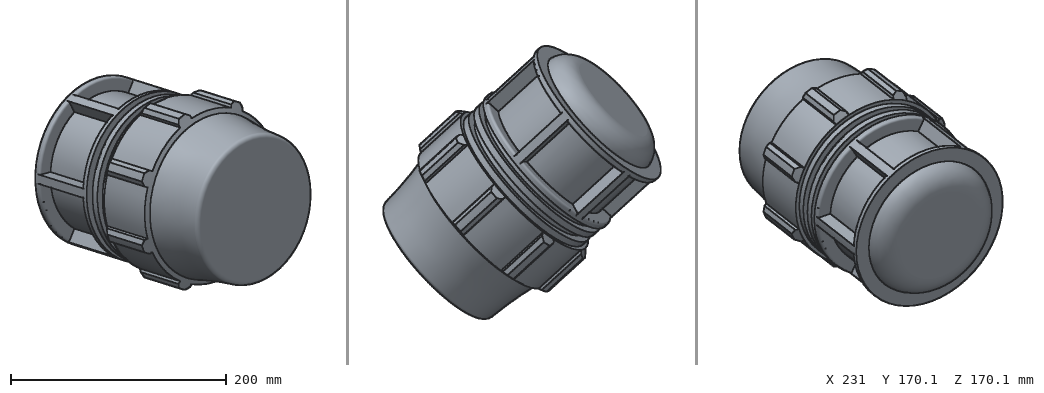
import cadquery as cq
import math

length = 231.0

dome_radius = 23.0
core_radius = 68.0

grip_start = 18.5
grip_end = 89.0
flange_thickness = 6.2
flange_radius = 162.9 / 2
flange_round = 2.3
grip_rib_count = 6
grip_rib_width = 9.0

neck_radius = 144.8 / 2
ring_radius = 80.2
ring_width = 6.7
ring_starts = (95.6, 109.3)

nut_start = ring_starts[-1] + ring_width
nut_end = 173.2
nut_radius = 84.0
lug_count = 8
lug_width = 15.7
lug_chamfer = 4.0
lug_height = 90.5
lug_top_start = 121.3
lug_top_end = 168.6

sleeve_start_radius = 79.2
sleeve_middle_radius = 74.8
sleeve_end_radius = 72.5
sleeve_round = 4.5


def cylinder(start, end, radius):
    """Solid cylinder along the X axis."""
    return cq.Workplane("YZ").workplane(offset=start).circle(radius).extrude(end - start)


def revolve_about_x(profile):
    """Full turn of a closed XY profile about the X axis."""
    return profile.close().revolve(360, (0, 0, 0), (1, 0, 0))


def make_cap():
    core = cylinder(0, grip_end, core_radius)
    return core.faces("<X").edges().fillet(dome_radius)


def make_flange(start, inner_side):
    """Flange whose rim is rounded on the side facing the windows."""
    flange = cylinder(start, start + flange_thickness, flange_radius)
    return flange.faces(inner_side).edges().fillet(flange_round)


def make_grip():
    grip = make_flange(grip_start, ">X").union(make_flange(grip_end - flange_thickness, "<X"))
    grip_length = grip_end - grip_start
    envelope = cylinder(grip_start, grip_end, flange_radius)
    bar = cq.Workplane("XY").box(grip_length, 2 * flange_radius, grip_rib_width, centered=(False, True, True))
    bar = bar.translate((grip_start, 0, 0)).intersect(envelope)
    for index in range(grip_rib_count // 2):
        grip = grip.union(bar.rotate((0, 0, 0), (1, 0, 0), index * 360 / grip_rib_count))
    return grip


def make_neck():
    neck = cylinder(grip_end, nut_start, neck_radius)
    for start in ring_starts:
        neck = neck.union(cylinder(start, start + ring_width, ring_radius))
    return neck


def make_nut_blank():
    """Turned blank as high as the lugs, with a cone at each end."""
    return revolve_about_x(
        cq.Workplane("XY")
        .moveTo(nut_start, 0)
        .lineTo(nut_start, nut_radius)
        .lineTo(lug_top_start, lug_height)
        .lineTo(lug_top_end, lug_height)
        .lineTo(nut_end, sleeve_start_radius)
        .lineTo(nut_end, 0)
    )


def make_lug_bar():
    """Straight bar from the axis to +Z with chamfered top edges."""
    half_width = lug_width / 2
    return (
        cq.Workplane("YZ")
        .workplane(offset=nut_start)
        .moveTo(-half_width, 0)
        .lineTo(-half_width, lug_height - lug_chamfer)
        .lineTo(-half_width + lug_chamfer, lug_height)
        .lineTo(half_width - lug_chamfer, lug_height)
        .lineTo(half_width, lug_height - lug_chamfer)
        .lineTo(half_width, 0)
        .close()
        .extrude(nut_end - nut_start)
    )


def make_nut():
    """Drum with straight lugs, trimmed to the turned blank so that lugs and drum share the bevel."""
    drum = cylinder(nut_start, nut_end, nut_radius)
    bar = make_lug_bar()
    pitch = 360 / lug_count
    for index in range(lug_count):
        drum = drum.union(bar.rotate((0, 0, 0), (1, 0, 0), (index + 0.5) * pitch))
    return drum.intersect(make_nut_blank())


def make_sleeve():
    taper_end = length - sleeve_round
    diagonal = sleeve_round * math.sqrt(0.5)
    return revolve_about_x(
        cq.Workplane("XY")
        .moveTo(nut_end, 0)
        .lineTo(nut_end, sleeve_start_radius)
        .threePointArc(
            ((nut_end + taper_end) / 2, sleeve_middle_radius),
            (taper_end, sleeve_end_radius),
        )
        .threePointArc(
            (taper_end + diagonal, sleeve_end_radius - sleeve_round + diagonal),
            (length, sleeve_end_radius - sleeve_round),
        )
        .lineTo(length, 0)
    )


result = make_cap().union(make_grip()).union(make_neck()).union(make_nut()).union(make_sleeve())